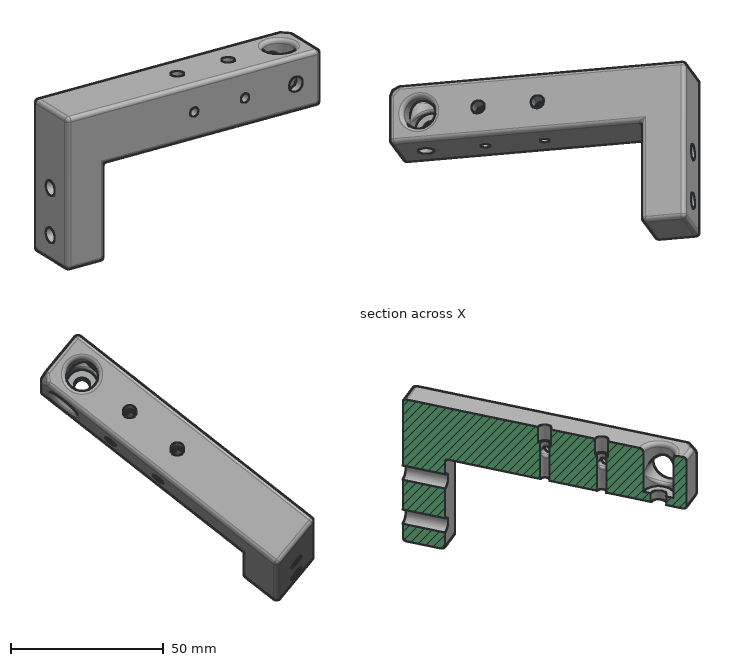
import cadquery as cq
import math

width = 20.0
length = 100.0
height = 54.7
arm_height = 20.0
leg_thickness = 15.0
edge_radius = 1.5
corner_cut = 4.0

screw_diameter = 5.3
screw_inset = 10.0
bore_diameter = 10.5
bore_depth = 16.5
lip_radius = 1.5
bore_crossing_radius = 1.0

pin_diameter = 3.2
pin_entry_diameter = 4.4
pin_entry_depth = 6.0
pin_spacing = 20.0
pin_count = 2

leg_hole_diameter = 5.3
leg_hole_heights = (9.3, 26.2)

middle_x = width / 2
arm_middle_z = height - arm_height / 2
screw_y = length - screw_inset


def bracket_body():
    """L-shaped body with one corner cut off and every edge rounded except the inside corner."""
    profile = [
        (0, 0),
        (0, height),
        (length, height),
        (length, height - arm_height),
        (leg_thickness, height - arm_height),
        (leg_thickness, 0),
    ]
    body = cq.Workplane("YZ").polyline(profile).close().extrude(width)
    inside_corner = cq.selectors.BoxSelector(
        (-1, leg_thickness - 1, height - arm_height - 1),
        (width + 1, leg_thickness + 1, height - arm_height + 1),
    )
    corner = cq.Vector(0, length, height)
    along_x = cq.Vector(corner_cut, length, height)
    along_y = cq.Vector(0, length - corner_cut, height)
    along_z = cq.Vector(0, length, height - corner_cut)
    cut_faces = [
        cq.Face.makeFromWires(cq.Wire.makePolygon([*points, points[0]]))
        for points in (
            (corner, along_x, along_y),
            (corner, along_y, along_z),
            (corner, along_z, along_x),
            (along_x, along_y, along_z),
        )
    ]
    corner_wedge = cq.Solid.makeSolid(cq.Shell.makeShell(cut_faces))
    body = body.cut(cq.Workplane(obj=corner_wedge))
    return body.edges(cq.selectors.InverseSelector(inside_corner)).fillet(edge_radius)


def cutter(outline, start, turn_angle):
    """Revolve a half section of (radius, depth) about the Z axis, then aim and place it."""
    body = outline.close().revolve(360, (0, 0, 0), (0, 1, 0)).rotate((0, 0, 0), (1, 0, 0), 90)
    return body.rotate((0, 0, 0), (0, 1, 0), turn_angle).translate(start)


def screw_hole():
    """Half section of a through hole with a counterbore whose mouth is rounded outwards."""
    bore_radius = bore_diameter / 2
    mid_arc = lip_radius * (1 - math.sqrt(0.5))
    return (
        cq.Workplane("XY")
        .lineTo(bore_radius + lip_radius, 0)
        .threePointArc((bore_radius + mid_arc, -mid_arc), (bore_radius, -lip_radius))
        .lineTo(bore_radius, -bore_depth)
        .lineTo(screw_diameter / 2, -bore_depth)
        .lineTo(screw_diameter / 2, -width)
        .lineTo(0, -width)
    )


def pin_hole():
    """Half section of a through hole with a wider entry."""
    return (
        cq.Workplane("XY")
        .lineTo(pin_entry_diameter / 2, 0)
        .lineTo(pin_entry_diameter / 2, -pin_entry_depth)
        .lineTo(pin_diameter / 2, -pin_entry_depth)
        .lineTo(pin_diameter / 2, -width)
        .lineTo(0, -width)
    )


result = bracket_body()

for entry_x, entry_z, turn_angle in ((middle_x, height, 0), (0, arm_middle_z, -90)):
    result = result.cut(cutter(screw_hole(), (entry_x, screw_y, entry_z), turn_angle))
    for index in range(1, pin_count + 1):
        pin_y = screw_y - index * pin_spacing
        result = result.cut(cutter(pin_hole(), (entry_x, pin_y, entry_z), turn_angle))

for hole_z in leg_hole_heights:
    leg_hole = cq.Workplane("XZ", origin=(middle_x, 0, hole_z)).circle(leg_hole_diameter / 2)
    result = result.cut(leg_hole.extrude(-leg_thickness))

crossing_edges = [edge for edge in result.edges().vals() if edge.geomType() == "ELLIPSE"]
result = result.newObject(crossing_edges).fillet(bore_crossing_radius)